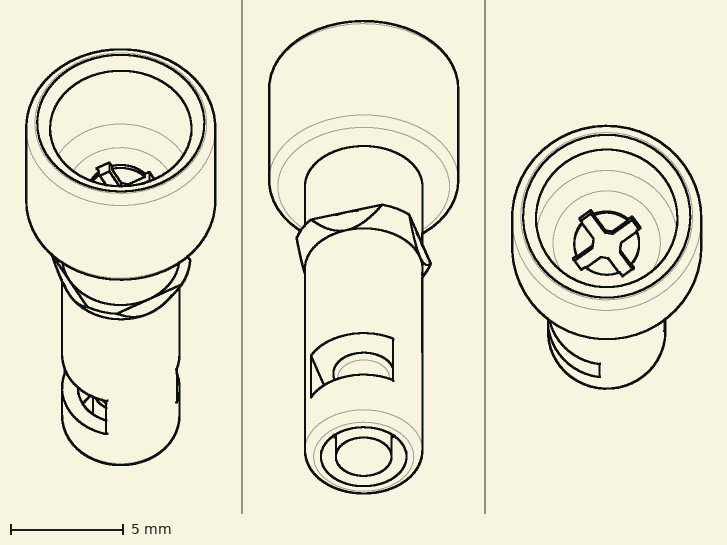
import cadquery as cq
import math

total_height = 22.85
head_bottom = 16.5
collar_top = 12.57
collar_bottom = 11.48
window_top = 5.07
window_bottom = 2.54

head_radius = 8.4 / 2
stem_radius = 2.6
collar_radius = 3.09
collar_flat_distance = stem_radius
edge_round = 0.4

cup_radius = 3.13
cup_mouth_radius = 3.7
cup_chamfer_depth = 0.41
cup_depth = 5.25
cup_floor_round = 0.75

recess_radius = 1.45
recess_depth = 0.23
cross_length = 3.25
cross_width = 0.65
cross_depth = 0.69
cross_corner_chamfer = 0.23

socket_radius = 1.9
pin_radius = 1.03
pin_base_radius = 1.23
pin_base_top = 2.47
pin_cone_bottom = 3.85
pin_cone_top = 4.82
pin_cone_radius = 1.15
pin_root_radius = 1.35


def cylinder(radius, bottom, top):
    return cq.Workplane("XY").workplane(offset=bottom).circle(radius).extrude(top - bottom)


def make_head():
    return cylinder(head_radius, head_bottom, total_height).edges().fillet(edge_round)


def make_stem():
    return cylinder(stem_radius, 0, head_bottom).faces("<Z").edges().fillet(edge_round)


def make_collar():
    """Cone widening upwards, trimmed by a square to leave four flats."""
    cone = (
        cq.Workplane("XZ")
        .moveTo(0, collar_bottom)
        .lineTo(stem_radius, collar_bottom)
        .lineTo(collar_radius, collar_top)
        .lineTo(0, collar_top)
        .close()
        .revolve(360, (0, 0, 0), (0, 1, 0))
    )
    flat_width = 2 * collar_flat_distance
    return cone.intersect(cq.Workplane("XY").rect(flat_width, flat_width).extrude(total_height))


def make_cup():
    """Cavity with a chamfered mouth and a rounded floor corner."""
    floor = total_height - cup_depth
    round_start = cup_radius - cup_floor_round
    round_middle = (
        round_start + cup_floor_round * math.sin(math.pi / 4),
        floor + cup_floor_round * (1 - math.cos(math.pi / 4)),
    )
    return (
        cq.Workplane("XZ")
        .moveTo(0, floor)
        .lineTo(round_start, floor)
        .threePointArc(round_middle, (cup_radius, floor + cup_floor_round))
        .lineTo(cup_radius, total_height - cup_chamfer_depth)
        .lineTo(cup_mouth_radius, total_height)
        .lineTo(0, total_height)
        .close()
        .revolve(360, (0, 0, 0), (0, 1, 0))
    )


def make_driver_recess():
    """Shallow round recess crossed by a deeper cross slot."""
    floor = total_height - cup_depth
    bottom = floor - cross_depth
    plane = cq.Workplane("XY").workplane(offset=bottom)
    bar_x = plane.rect(cross_length, cross_width).extrude(cross_depth)
    bar_y = plane.rect(cross_width, cross_length).extrude(cross_depth)
    bevel_side = math.sqrt(2) * (cross_width + cross_corner_chamfer)
    bevel = plane.transformed(rotate=(0, 0, 45)).rect(bevel_side, bevel_side).extrude(cross_depth)
    round_recess = cylinder(recess_radius, floor - recess_depth, floor)
    return bar_x.union(bar_y).union(bevel).union(round_recess)


def make_socket():
    """Bore open at the lower end, with a window through the stem along Y."""
    bore = cylinder(socket_radius, 0, window_top)
    window = (
        cq.Workplane("XY")
        .workplane(offset=window_bottom)
        .rect(2 * socket_radius, 3 * stem_radius)
        .extrude(window_top - window_bottom)
    )
    return bore.union(window)


def make_pin():
    """Stepped pin whose root flares out where it joins the socket ceiling."""
    flare_middle = (
        pin_cone_radius + 0.3 * (pin_root_radius - pin_cone_radius),
        (pin_cone_top + window_top) / 2,
    )
    return (
        cq.Workplane("XZ")
        .lineTo(pin_base_radius, 0)
        .lineTo(pin_base_radius, pin_base_top)
        .lineTo(pin_radius, pin_base_top)
        .lineTo(pin_radius, pin_cone_bottom)
        .lineTo(pin_cone_radius, pin_cone_top)
        .threePointArc(flare_middle, (pin_root_radius, window_top))
        .lineTo(0, window_top)
        .close()
        .revolve(360, (0, 0, 0), (0, 1, 0))
    )


body = make_head().union(make_stem()).union(make_collar())
body = body.cut(make_cup()).cut(make_driver_recess())
result = body.cut(make_socket()).union(make_pin())